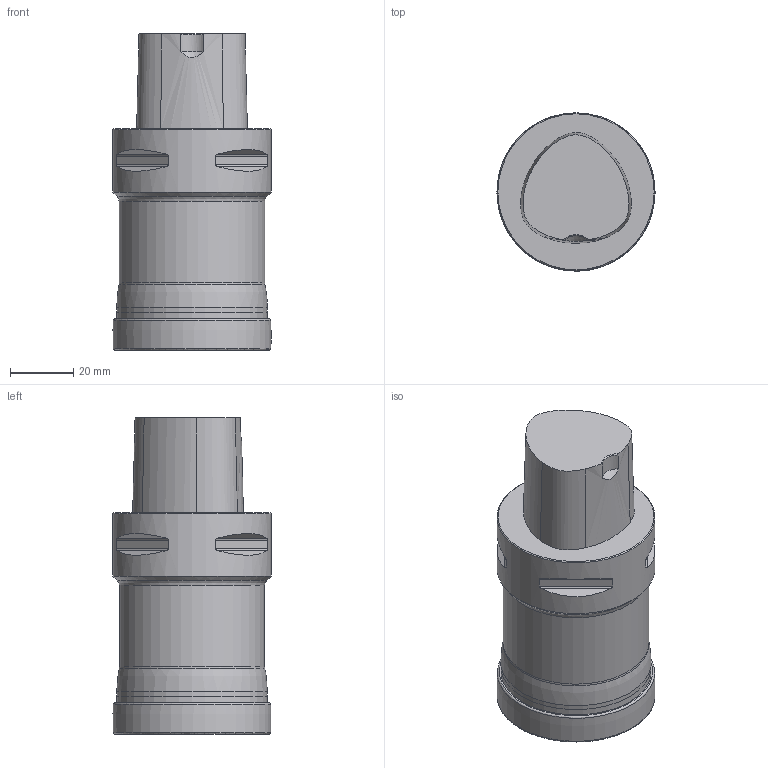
import cadquery as cq
import math

NUT_RIM_TOP = 10.0
NUT_TOP = 12.0
SKIRT_BASE = 13.5
BODY_BLEND = 21.0
FLANGE_BOTTOM = 50.0
FLANGE_TOP = 70.0
SHANK_TOP = 100.0

FLANGE_RADIUS = 25.0
BODY_RADIUS = 23.0
COLLAR_RADIUS = 23.8
NUT_BASE_RADIUS = 24.93
NUT_WIDEST_RADIUS = 25.01
NUT_WIDEST_HEIGHT = 4.0
NUT_SHOULDER_RADIUS = 24.83
NUT_BOTTOM_FILLET = 0.6
NUT_SHOULDER_FILLET = 0.6
SKIRT_BLEND_FILLET = 3.0
FLANGE_EDGE_CHAMFER = 0.3
FLANGE_NECK_FILLET = 2.4

SHANK_MEAN_RADIUS = 16.75
SHANK_ECCENTRICITY = 1.25
SHANK_TAPER = 1 / 20
LOBE_COUNT = 3
LOBE_HALF_ANGLE = 37.0
FIRST_LOBE_ANGLE = 90.0
SPAN_INTERVALS = 8

KEYWAY_RADIUS = 5.0
KEYWAY_INNER_Y = -13.85
KEYWAY_DEPTH = 5.7
KEYWAY_CHAMFER = 0.3

SLOT_COUNT = 4
SLOT_FIRST_ANGLE = 45.0
SLOT_Z = (FLANGE_BOTTOM + FLANGE_TOP) / 2
SLOT_FLOOR_DISTANCE = 22.1
SLOT_FLOOR_WIDTH = 3.5
SLOT_FLANK_ANGLE = 30.0
SLOT_FLOOR_FILLET = 0.7
SLOT_OVERSHOOT = 2.0


def make_nut():
    """Clamping nut: a slightly barrelled rim below a narrow collar."""
    rim_profile = (
        cq.Workplane("XZ")
        .lineTo(NUT_BASE_RADIUS, 0)
        .threePointArc(
            (NUT_WIDEST_RADIUS, NUT_WIDEST_HEIGHT), (NUT_SHOULDER_RADIUS, NUT_RIM_TOP)
        )
        .lineTo(0, NUT_RIM_TOP)
        .close()
    )
    rim = rim_profile.revolve(360, (0, 0, 0), (0, 1, 0))
    rim = rim.faces("<Z").edges().fillet(NUT_BOTTOM_FILLET)
    rim = rim.faces(">Z").edges().fillet(NUT_SHOULDER_FILLET)
    collar = (
        cq.Workplane("XY", origin=(0, 0, NUT_RIM_TOP))
        .circle(COLLAR_RADIUS)
        .extrude(NUT_TOP - NUT_RIM_TOP)
    )
    return rim.union(collar)


def edges_at(height):
    """Selector for the circular edges of a turned part at one height."""
    margin = 0.1
    reach = FLANGE_RADIUS + margin
    return cq.selectors.BoxSelector(
        (-reach, -reach, height - margin),
        (reach, reach, height + margin),
        boundingbox=True,
    )


def make_turned_body():
    """Turned part of the holder: skirt, cylindrical body and flange."""
    skirt_height = BODY_BLEND - SKIRT_BASE
    skirt_inset = COLLAR_RADIUS - BODY_RADIUS
    neck_height = FLANGE_BOTTOM - (FLANGE_RADIUS - BODY_RADIUS)

    skirt_arc_radius = (skirt_height**2 + skirt_inset**2) / (2 * skirt_inset)
    half_arc = math.asin(skirt_height / skirt_arc_radius) / 2
    skirt_middle = (
        COLLAR_RADIUS - skirt_arc_radius * (1 - math.cos(half_arc)),
        SKIRT_BASE + skirt_arc_radius * math.sin(half_arc),
    )

    profile = (
        cq.Workplane("XZ")
        .moveTo(0, NUT_TOP)
        .lineTo(COLLAR_RADIUS, NUT_TOP)
        .lineTo(COLLAR_RADIUS, SKIRT_BASE)
        .threePointArc(skirt_middle, (BODY_RADIUS, BODY_BLEND))
        .lineTo(BODY_RADIUS, neck_height)
        .lineTo(FLANGE_RADIUS, FLANGE_BOTTOM)
        .lineTo(FLANGE_RADIUS, FLANGE_TOP)
        .lineTo(0, FLANGE_TOP)
        .close()
    )
    body = profile.revolve(360, (0, 0, 0), (0, 1, 0))
    body = body.edges(edges_at(BODY_BLEND)).fillet(SKIRT_BLEND_FILLET)
    body = body.edges(edges_at(neck_height)).fillet(FLANGE_NECK_FILLET)
    return body.faces(">Z").edges().chamfer(FLANGE_EDGE_CHAMFER)


def shank_point(mean_radius, normal_angle, height):
    """Point of the polygon where the outward normal has the given angle.

    The distance of the tangent line from the axis is mean_radius + e * cos(3 * angle from a lobe).
    """
    angle = math.radians(normal_angle)
    lobe_phase = LOBE_COUNT * math.radians(normal_angle - FIRST_LOBE_ANGLE)
    reach = mean_radius + SHANK_ECCENTRICITY * math.cos(lobe_phase)
    shift = -LOBE_COUNT * SHANK_ECCENTRICITY * math.sin(lobe_phase)
    return cq.Vector(
        reach * math.cos(angle) - shift * math.sin(angle),
        reach * math.sin(angle) + shift * math.cos(angle),
        height,
    )


def shank_span(mean_radius, start_angle, end_angle, height):
    """One smooth stretch of the polygon between two normal angles."""
    step = (end_angle - start_angle) / SPAN_INTERVALS
    points = [
        shank_point(mean_radius, start_angle + i * step, height)
        for i in range(SPAN_INTERVALS + 1)
    ]
    tangents = [
        cq.Vector(-math.sin(math.radians(a)), math.cos(math.radians(a)), 0)
        for a in (start_angle, end_angle)
    ]
    return cq.Edge.makeSpline(points, tangents=tangents)


def shank_outline(mean_radius, height):
    """Closed polygon of alternating lobe and flank stretches."""
    pitch = 360 / LOBE_COUNT
    spans = []
    for i in range(LOBE_COUNT):
        lobe_middle = FIRST_LOBE_ANGLE + i * pitch
        lobe_start = lobe_middle - LOBE_HALF_ANGLE
        lobe_end = lobe_middle + LOBE_HALF_ANGLE
        spans.append(shank_span(mean_radius, lobe_start, lobe_end, height))
        spans.append(shank_span(mean_radius, lobe_end, lobe_start + pitch, height))
    return cq.Wire.assembleEdges(spans)


def make_shank():
    """Tapered polygonal shank standing on the flange."""
    base_growth = (SHANK_TOP - FLANGE_TOP) * SHANK_TAPER / 2
    base = shank_outline(SHANK_MEAN_RADIUS + base_growth, FLANGE_TOP)
    top = shank_outline(SHANK_MEAN_RADIUS, SHANK_TOP)
    return cq.Workplane(cq.Solid.makeLoft([base, top], True))


def make_keyway_cutter():
    """Vertical hole with a chamfered mouth and a 45 degree conical floor."""
    floor_height = SHANK_TOP - KEYWAY_DEPTH
    profile = (
        cq.Workplane("XZ")
        .moveTo(0, floor_height - KEYWAY_RADIUS)
        .lineTo(KEYWAY_RADIUS, floor_height)
        .lineTo(KEYWAY_RADIUS, SHANK_TOP - KEYWAY_CHAMFER)
        .lineTo(KEYWAY_RADIUS + KEYWAY_CHAMFER, SHANK_TOP)
        .lineTo(0, SHANK_TOP)
        .close()
    )
    cutter = profile.revolve(360, (0, 0, 0), (0, 1, 0))
    return cutter.translate((0, KEYWAY_INNER_Y - KEYWAY_RADIUS, 0))


def make_slot_cutter(angle):
    """Straight slot with a flat floor and two sloping flanks, facing the given angle."""
    outer_distance = FLANGE_RADIUS + SLOT_OVERSHOOT
    flank_spread = (outer_distance - SLOT_FLOOR_DISTANCE) * math.tan(math.radians(SLOT_FLANK_ANGLE))
    floor_half = SLOT_FLOOR_WIDTH / 2
    mouth_half = floor_half + flank_spread
    cutter = (
        cq.Workplane("XZ")
        .moveTo(SLOT_FLOOR_DISTANCE, SLOT_Z - floor_half)
        .lineTo(outer_distance, SLOT_Z - mouth_half)
        .lineTo(outer_distance, SLOT_Z + mouth_half)
        .lineTo(SLOT_FLOOR_DISTANCE, SLOT_Z + floor_half)
        .close()
        .extrude(FLANGE_RADIUS, both=True)
        .faces("<X")
        .edges("|Y")
        .fillet(SLOT_FLOOR_FILLET)
    )
    return cutter.rotate((0, 0, 0), (0, 0, 1), angle)


def make_holder():
    """Holder: turned body and shank in one piece, with keyway and gripper slots."""
    holder = make_turned_body().union(make_shank())
    holder = holder.cut(make_keyway_cutter())
    for i in range(SLOT_COUNT):
        holder = holder.cut(make_slot_cutter(SLOT_FIRST_ANGLE + i * 360 / SLOT_COUNT))
    return holder


nut = make_nut()
holder = make_holder()

result = cq.Compound.makeCompound([nut.solids().val(), holder.solids().val()])